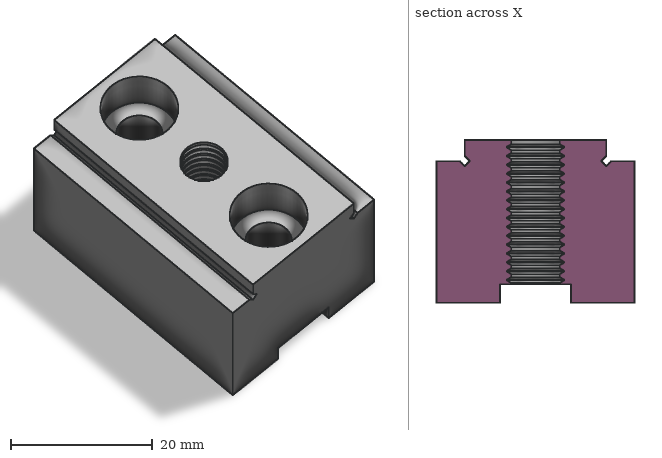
import cadquery as cq
import math

LENGTH = 40.0
WIDTH = 28.0
HEIGHT = 23.0

RAIL_WIDTH = 20.0
RAIL_HEIGHT = 3.0
SHOULDER_Z = HEIGHT - RAIL_HEIGHT

RELIEF_SIDE = 1.0
RELIEF_REACH = RELIEF_SIDE / math.sqrt(2)

CHANNEL_WIDTH = 10.0
CHANNEL_DEPTH = 2.6

SCREW_SPACING = 26.0
SCREW_HOLE_DIAMETER = 6.6
COUNTERBORE_DIAMETER = 11.0
COUNTERBORE_DEPTH = 6.4

THREAD_MINOR_DIAMETER = 6.75
THREAD_MAJOR_DIAMETER = 8.0
THREAD_PITCH = 1.25
THREAD_FLANK_ANGLE = 30.0
THREAD_LEAD_IN = THREAD_PITCH / 2
THREAD_ROOT_FLAT = 0.1


def body_profile():
    """Cross-section of the block in the YZ plane."""
    half_width = WIDTH / 2
    half_rail = RAIL_WIDTH / 2
    half_channel = CHANNEL_WIDTH / 2
    half_outline = [
        (half_channel, CHANNEL_DEPTH),
        (half_channel, 0),
        (half_width, 0),
        (half_width, SHOULDER_Z),
        (half_rail + RELIEF_REACH, SHOULDER_Z),
        (half_rail, SHOULDER_Z - RELIEF_REACH),
        (half_rail - RELIEF_REACH, SHOULDER_Z),
        (half_rail, SHOULDER_Z + RELIEF_REACH),
        (half_rail, HEIGHT),
    ]
    mirrored = [(-y, z) for y, z in reversed(half_outline)]
    return half_outline + mirrored


def make_body():
    profile = cq.Workplane("YZ").polyline(body_profile()).close()
    return profile.extrude(LENGTH / 2, both=True)


def cut_screw_holes(body):
    screw_positions = [(-SCREW_SPACING / 2, 0), (SCREW_SPACING / 2, 0)]
    return (
        body.faces(">Z")
        .workplane(origin=(0, 0, HEIGHT))
        .pushPoints(screw_positions)
        .cboreHole(SCREW_HOLE_DIAMETER, COUNTERBORE_DIAMETER, COUNTERBORE_DEPTH)
    )


def thread_cutter():
    """Solid of revolution about Z: the plain bore with all thread grooves on it."""
    minor_radius = THREAD_MINOR_DIAMETER / 2
    major_radius = THREAD_MAJOR_DIAMETER / 2
    flank_drop = (major_radius - minor_radius) * math.tan(math.radians(THREAD_FLANK_ANGLE))
    groove_height = 2 * flank_drop + THREAD_ROOT_FLAT
    usable_depth = HEIGHT - CHANNEL_DEPTH - THREAD_LEAD_IN
    groove_count = math.floor((usable_depth - groove_height) / THREAD_PITCH) + 1

    outline = [(0, HEIGHT), (minor_radius, HEIGHT)]
    for index in range(groove_count):
        groove_top = HEIGHT - THREAD_LEAD_IN - index * THREAD_PITCH
        outline.append((minor_radius, groove_top))
        outline.append((major_radius, groove_top - flank_drop))
        outline.append((major_radius, groove_top - flank_drop - THREAD_ROOT_FLAT))
        outline.append((minor_radius, groove_top - groove_height))
    outline.append((minor_radius, 0))
    outline.append((0, 0))
    half_section = cq.Workplane("XZ").polyline(outline).close()
    return half_section.revolve(360, (0, 0), (0, 1))


result = cut_screw_holes(make_body()).cut(thread_cutter())